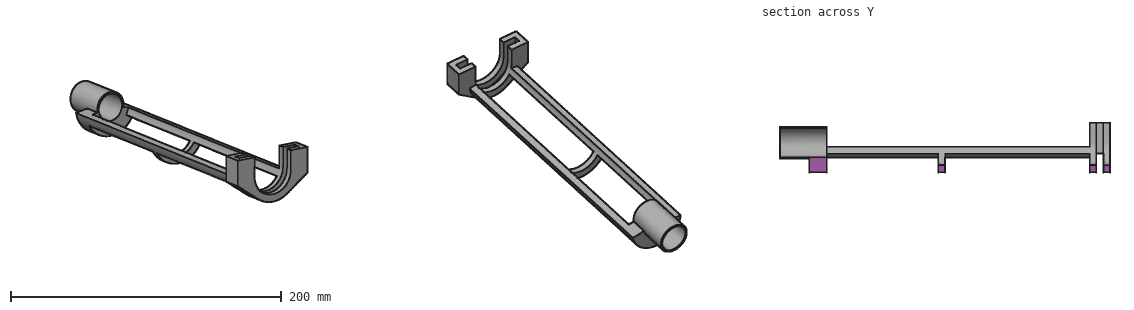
import cadquery as cq
import math

total_length = 244.0
tube_length = 34.6
saddle_start = 21.5
strut_start = 116.9
strut_width = 5.1
clamp_length = 15.1
clamp_start = total_length - clamp_length

tube_outer_radius = 24.0 / 2
tube_bore_radius = 21.0 / 2
cradle_outer_radius = 22.2
cradle_inner_radius = 16.3
axis_height = cradle_outer_radius
rail_top_angle = 10.0
rail_bottom_angle = 30.0

clamp_half_width = 63.0 / 2
clamp_top = 37.0 - axis_height
clamp_corner_height = -5.0
slot_width = 5.1
slot_half_width = 26.8


def section_plane(x):
    """YZ workplane at station x, centred on the tube axis."""
    return cq.Workplane("YZ", origin=(x, 0, axis_height))


def polar(radius, angle):
    """Point at an angle in degrees, counter-clockwise from +Y."""
    a = math.radians(angle)
    return (radius * math.cos(a), radius * math.sin(a))


def ring_sector(inner, outer, first_angle, last_angle, start, length):
    """Prism along X whose section is a ring sector about the axis."""
    middle = (first_angle + last_angle) / 2
    return (
        section_plane(start)
        .moveTo(*polar(inner, first_angle))
        .lineTo(*polar(outer, first_angle))
        .threePointArc(polar(outer, middle), polar(outer, last_angle))
        .lineTo(*polar(inner, last_angle))
        .threePointArc(polar(inner, middle), polar(inner, first_angle))
        .close()
        .extrude(length)
    )


def make_tube():
    return section_plane(0).circle(tube_outer_radius).circle(tube_bore_radius).extrude(tube_length)


def make_saddle():
    """Solid cradle joining the tube to both rails."""
    inner = (tube_outer_radius + tube_bore_radius) / 2
    return ring_sector(
        inner, cradle_outer_radius, rail_top_angle - 180, -rail_top_angle,
        saddle_start, tube_length - saddle_start,
    )


def make_rail(first_angle, last_angle):
    return ring_sector(
        cradle_inner_radius, cradle_outer_radius, first_angle, last_angle,
        saddle_start, clamp_start - saddle_start,
    )


def make_strut():
    """Curved cross-tie under the middle of the rails."""
    return ring_sector(
        cradle_inner_radius, cradle_outer_radius, rail_top_angle - 180, -rail_top_angle,
        strut_start, strut_width,
    )


def make_clamp():
    """U-shaped end block with sloping flanks tangent to its round underside."""
    corner_distance = math.hypot(clamp_half_width, clamp_corner_height)
    corner_angle = math.degrees(math.atan2(clamp_corner_height, clamp_half_width))
    tangent_offset = math.degrees(math.acos(cradle_outer_radius / corner_distance))
    tangent_y, tangent_z = polar(cradle_outer_radius, corner_angle - tangent_offset)
    block = (
        section_plane(clamp_start)
        .moveTo(-clamp_half_width, clamp_top)
        .lineTo(-clamp_half_width, clamp_corner_height)
        .lineTo(-tangent_y, tangent_z)
        .threePointArc((0, -cradle_outer_radius), (tangent_y, tangent_z))
        .lineTo(clamp_half_width, clamp_corner_height)
        .lineTo(clamp_half_width, clamp_top)
        .lineTo(cradle_inner_radius, clamp_top)
        .lineTo(cradle_inner_radius, 0)
        .threePointArc((0, -cradle_inner_radius), (-cradle_inner_radius, 0))
        .lineTo(-cradle_inner_radius, clamp_top)
        .close()
        .extrude(clamp_length)
    )
    slot_height = axis_height + clamp_top
    slot = cq.Workplane("XY", origin=(clamp_start + clamp_length / 2, 0, 0)).box(
        slot_width, 2 * slot_half_width, slot_height, centered=(True, True, False)
    )
    return block.cut(slot)


right_rail = make_rail(-rail_bottom_angle, -rail_top_angle)
left_rail = make_rail(rail_top_angle - 180, rail_bottom_angle - 180)

result = make_tube()
for piece in (make_saddle(), right_rail, left_rail, make_strut(), make_clamp()):
    result = result.union(piece)